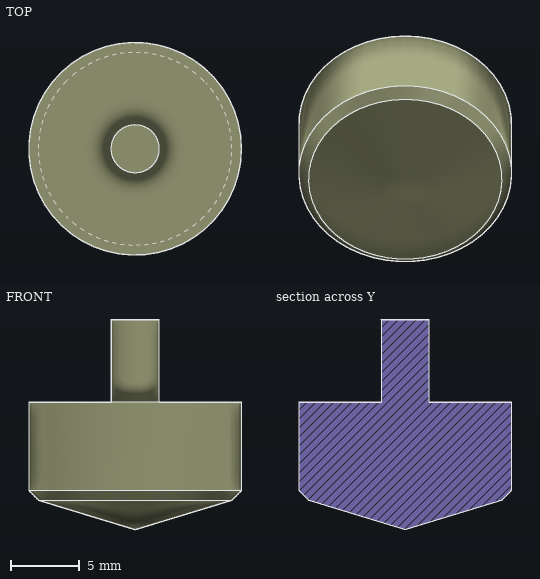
import cadquery as cq

body_diameter = 15.5
stem_diameter = 3.5
total_height = 15.3
stem_height = 6.0
chamfer = 0.71
cone_height = 2.14

body_radius = body_diameter / 2
stem_radius = stem_diameter / 2
cone_radius = body_radius - chamfer
body_bottom = cone_height + chamfer
body_top = total_height - stem_height

half_profile = [
    (0, 0),
    (cone_radius, cone_height),
    (body_radius, body_bottom),
    (body_radius, body_top),
    (stem_radius, body_top),
    (stem_radius, total_height),
    (0, total_height),
]

result = cq.Workplane("XZ").polyline(half_profile).close().revolve(360, (0, 0), (0, 1))